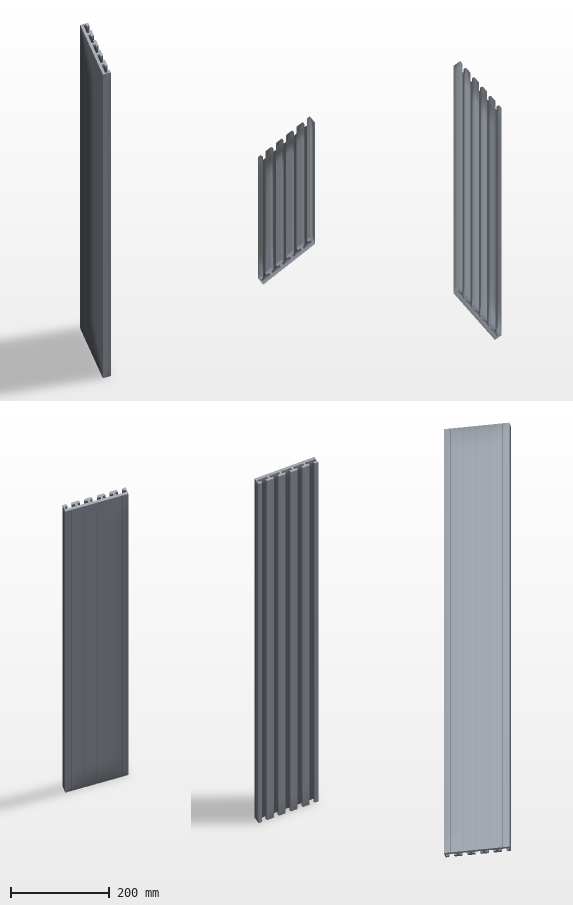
import cadquery as cq

length = 1000.0
height = 17.0
slot_pitch = 27.0
slot_count = 5

slot_opening = 10.0
slot_depth = 11.0
lip_depth = 5.5
rib_thickness = 5.0

step_width = 1.0
step_depth = 2.0

groove_width = 1.0
groove_depth = 1.0

width = slot_pitch * slot_count
cavity_width = slot_pitch - rib_thickness
cavity_height = slot_depth - lip_depth
floor_y = height - slot_depth
first_slot_x = -(slot_count - 1) / 2 * slot_pitch
slot_centers = [first_slot_x + i * slot_pitch for i in range(slot_count)]


def bar(x_center, bar_width, y_bottom, bar_height):
    """Full-length rectangular bar standing along Z."""
    section = cq.Workplane("XY").center(x_center, y_bottom + bar_height / 2)
    return section.rect(bar_width, bar_height).extrude(length)


def t_slot(x_center):
    """Stepped mouth leading to a wider cavity that ends at the slot floor."""
    step = bar(x_center, slot_opening + 2 * step_width, height - step_depth, step_depth)
    neck = bar(x_center, slot_opening, floor_y, slot_depth)
    cavity = bar(x_center, cavity_width, floor_y, cavity_height)
    return neck.union(step).union(cavity)


def marking_groove(x_center):
    """Narrow groove centred under a slot."""
    return bar(x_center, groove_width, 0, groove_depth)


result = bar(0, width, 0, height)
for center in slot_centers:
    result = result.cut(t_slot(center))
    result = result.cut(marking_groove(center))